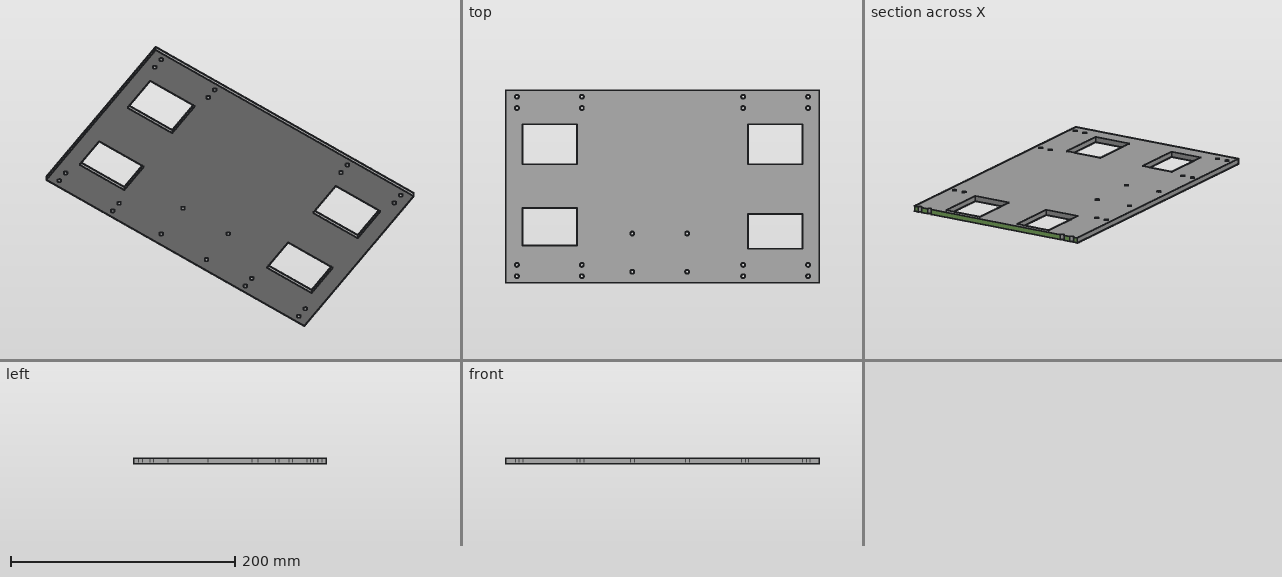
import cadquery as cq

length = 280.0
width = 172.0
thickness = 5.0

hole_diameter = 3.5

edge_hole_x = (72.0, 130.0)
edge_hole_y = (70.0, 80.0)

mount_center = (-2.5, -59.0)
mount_spacing_x = 49.0
mount_spacing_y = 34.2

window_inner_x = 76.5
window_outer_x = 125.0
back_window_y = (20.0, 55.5)
front_left_window_y = (-52.5, -19.3)
front_right_window_y = (-55.5, -24.5)


def window_cutter(side, y_range):
    """Rectangular through-cutter; side is -1 for left and +1 for right."""
    y_low, y_high = y_range
    center_x = side * (window_inner_x + window_outer_x) / 2
    center_y = (y_low + y_high) / 2
    return (
        cq.Workplane("XY")
        .center(center_x, center_y)
        .rect(window_outer_x - window_inner_x, y_high - y_low)
        .extrude(thickness)
    )


def hole_cutters(points):
    """Round through-cutters at the given XY points."""
    return cq.Workplane("XY").pushPoints(points).circle(hole_diameter / 2).extrude(thickness)


edge_holes = [
    (side_x * x, side_y * y)
    for x in edge_hole_x
    for y in edge_hole_y
    for side_x in (-1, 1)
    for side_y in (-1, 1)
]
mount_holes = [
    (mount_center[0] + side_x * mount_spacing_x / 2, mount_center[1] + side_y * mount_spacing_y / 2)
    for side_x in (-1, 1)
    for side_y in (-1, 1)
]
windows = [
    (-1, back_window_y),
    (1, back_window_y),
    (-1, front_left_window_y),
    (1, front_right_window_y),
]

plate = cq.Workplane("XY").box(length, width, thickness, centered=(True, True, False))
for side, y_range in windows:
    plate = plate.cut(window_cutter(side, y_range))

result = plate.cut(hole_cutters(edge_holes + mount_holes))